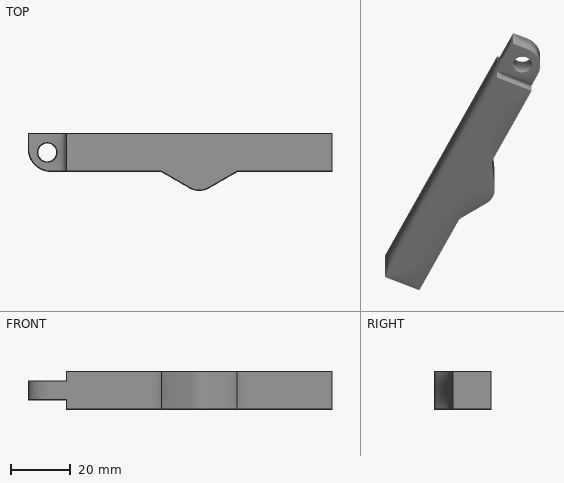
import cadquery as cq
import math

total_length = 101.6
bar_size = 12.7
tongue_length = 12.7
tongue_thickness = bar_size / 2
tongue_corner_radius = 7.62
hole_diameter = 6.35
cam_center_x = 57.15
cam_radius = 6.35
cam_flank_angle = math.radians(30)

cam_half_base = cam_radius / math.sin(cam_flank_angle)
tangent_half_width = cam_radius * math.sin(cam_flank_angle)
tangent_depth = cam_radius * math.cos(cam_flank_angle)


def make_bar():
    """Bar with the cam lobe on its -Y face; the front face of the bar lies on Y = 0."""
    return (
        cq.Workplane("XY")
        .moveTo(tongue_length, 0)
        .lineTo(cam_center_x - cam_half_base, 0)
        .lineTo(cam_center_x - tangent_half_width, -tangent_depth)
        .threePointArc(
            (cam_center_x, -cam_radius),
            (cam_center_x + tangent_half_width, -tangent_depth),
        )
        .lineTo(cam_center_x + cam_half_base, 0)
        .lineTo(total_length, 0)
        .lineTo(total_length, bar_size)
        .lineTo(tongue_length, bar_size)
        .close()
        .extrude(bar_size)
    )


def make_tongue():
    """Half-thickness hinge tongue at mid height, with one rounded corner and a pivot hole."""
    tongue_bottom = (bar_size - tongue_thickness) / 2
    return (
        cq.Workplane("XY")
        .workplane(offset=tongue_bottom)
        .rect(tongue_length, bar_size)
        .extrude(tongue_thickness)
        .edges("|Z and <X and <Y")
        .fillet(tongue_corner_radius)
        .faces(">Z")
        .workplane(origin=(0, 0, 0))
        .hole(hole_diameter)
        .translate((tongue_length / 2, bar_size / 2, 0))
    )


result = make_bar().union(make_tongue())